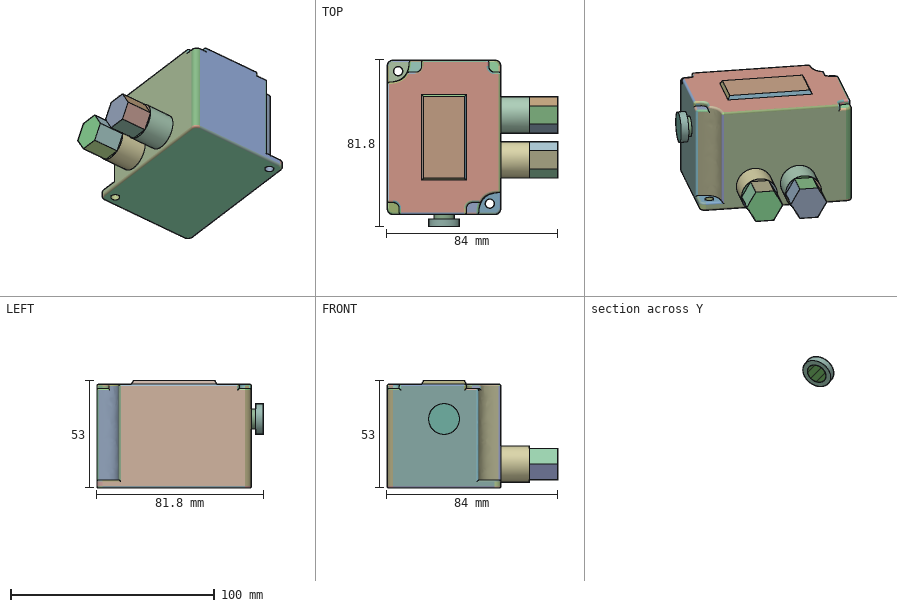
import cadquery as cq
import math

OVERALL_LENGTH = 84
BOX_LENGTH = 55.95
BOX_WIDTH = 76.0
BOX_HEIGHT = 51.15
CORNER_RADIUS = 3.0
EDGE_ROUND = 1.0

FOOT_HEIGHT = 4.1
NOTCH_SIZE = 10.9
NOTCH_HANDLE = 7.7
FOOT_HOLE_DIAMETER = 4.4
FOOT_HOLE_INSET = 5.5
FOOT_CORNERS = [(-1, 1), (1, -1)]
PLAIN_CORNERS = [(-1, -1), (1, 1)]

POCKET_DEPTH = 2.1
POCKET_SIZE = 6.0
LONG_POCKET_SIZE = 17.0
POCKET_RADIUS = POCKET_SIZE - CORNER_RADIUS

PANEL_TOP_LENGTH = 20.0
PANEL_TOP_WIDTH = 40.0
PANEL_HEIGHT = 1.85
PANEL_DRAFT = 30
PANEL_SPREAD = 2 * PANEL_HEIGHT * math.tan(math.radians(PANEL_DRAFT))

GLAND_DIAMETER = 18.0
GLAND_PITCH = 22.0
GLAND_Z = 11.85
GLAND_REACH = OVERALL_LENGTH - BOX_LENGTH
GLAND_BODY_LENGTH = GLAND_REACH / 2

BUTTON_DIAMETER = 15.1
BUTTON_NECK_DIAMETER = 10.1
BUTTON_NECK_LENGTH = 2.0
BUTTON_CAP_LENGTH = 3.8
BUTTON_Z = 34.0

PROBE_RADIUS = 0.1
RIDGE_FILL = 0.4

HALF_LENGTH = BOX_LENGTH / 2
HALF_WIDTH = BOX_WIDTH / 2


def pocket_cutter(x_side, y_side, size_x):
    """Block that sinks a screw pocket into one lid corner, with its inner vertical edge rounded."""
    inner_edge = (">X" if x_side < 0 else "<X") + " and " + (">Y" if y_side < 0 else "<Y")
    return (
        cq.Workplane("XY", origin=(x_side * HALF_LENGTH, y_side * HALF_WIDTH, BOX_HEIGHT))
        .rect(2 * size_x, 2 * POCKET_SIZE)
        .extrude(-POCKET_DEPTH)
        .edges("|Z")
        .edges(inner_edge)
        .fillet(POCKET_RADIUS)
    )


def notch_cutter(x_side, y_side):
    """Block that clears the space above one foot; one smooth curve meets both walls squarely."""
    inward_x = -x_side * NOTCH_SIZE
    inward_y = -y_side * NOTCH_SIZE
    handle_x = -x_side * NOTCH_HANDLE
    handle_y = -y_side * NOTCH_HANDLE
    curve = [(inward_x, 0), (inward_x, handle_y), (handle_x, inward_y), (0, inward_y)]
    return (
        cq.Workplane("XY", origin=(x_side * HALF_LENGTH, y_side * HALF_WIDTH, FOOT_HEIGHT))
        .lineTo(inward_x, 0)
        .bezier(curve)
        .close()
        .extrude(BOX_HEIGHT - FOOT_HEIGHT)
    )


def is_ridge(solid, edge):
    """True if the solid fills clearly less than half of a small ball around the edge's midpoint.

    Seams between tangent faces fill half of the ball and inner corners fill more.
    """
    ball = cq.Workplane("XY").sphere(PROBE_RADIUS).val().moved(cq.Location(edge.positionAt(0.5)))
    return solid.intersect(ball).Volume() < RIDGE_FILL * ball.Volume()


def make_body():
    body = (
        cq.Workplane("XY")
        .rect(BOX_LENGTH, BOX_WIDTH)
        .extrude(BOX_HEIGHT)
        .edges("|Z")
        .fillet(CORNER_RADIUS)
    )
    for x_side, y_side in PLAIN_CORNERS:
        body = body.cut(pocket_cutter(x_side, y_side, POCKET_SIZE))
    for x_side, y_side in FOOT_CORNERS:
        body = body.cut(pocket_cutter(x_side, y_side, LONG_POCKET_SIZE))
        body = body.cut(notch_cutter(x_side, y_side))
    solid = body.val()
    ridges = [edge for edge in solid.Edges() if is_ridge(solid, edge)]
    return body.newObject(ridges).fillet(EDGE_ROUND)


def make_foot_holes():
    centres = [
        (x_side * (HALF_LENGTH - FOOT_HOLE_INSET), y_side * (HALF_WIDTH - FOOT_HOLE_INSET))
        for x_side, y_side in FOOT_CORNERS
    ]
    return cq.Workplane("XY").pushPoints(centres).circle(FOOT_HOLE_DIAMETER / 2).extrude(FOOT_HEIGHT)


def make_panel():
    return (
        cq.Workplane("XY", origin=(0, 0, BOX_HEIGHT))
        .rect(PANEL_TOP_LENGTH + PANEL_SPREAD, PANEL_TOP_WIDTH + PANEL_SPREAD)
        .extrude(PANEL_HEIGHT, taper=PANEL_DRAFT)
    )


def make_gland(y):
    """Round gland body and a hexagonal nut with two of its corners pointing along Y."""
    return (
        cq.Workplane("YZ", origin=(HALF_LENGTH, y, GLAND_Z))
        .circle(GLAND_DIAMETER / 2)
        .extrude(GLAND_BODY_LENGTH)
        .faces(">X")
        .workplane()
        .polygon(6, GLAND_DIAMETER)
        .extrude(GLAND_REACH - GLAND_BODY_LENGTH)
    )


def make_button():
    return (
        cq.Workplane("XZ", origin=(0, -HALF_WIDTH, BUTTON_Z))
        .circle(BUTTON_NECK_DIAMETER / 2)
        .extrude(BUTTON_NECK_LENGTH)
        .faces("<Y")
        .workplane()
        .circle(BUTTON_DIAMETER / 2)
        .extrude(BUTTON_CAP_LENGTH)
    )


result = make_body().cut(make_foot_holes()).union(make_panel()).union(make_button())
for y in (-GLAND_PITCH / 2, GLAND_PITCH / 2):
    result = result.union(make_gland(y))